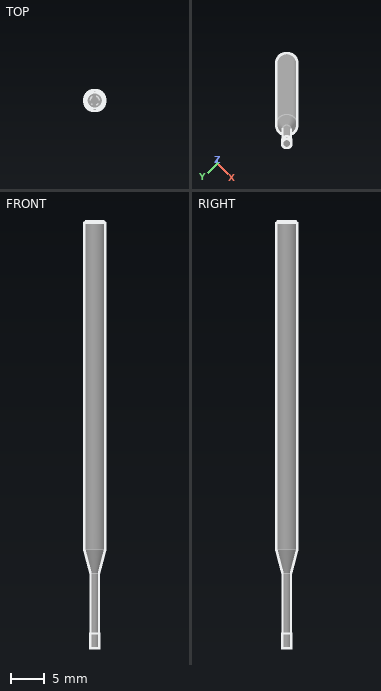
import cadquery as cq


OVERALL_LENGTH = 63.5
SHANK_DIAMETER = 3.175
NECK_DIAMETER = 1.3
TIP_DIAMETER = 1.4
TIP_LENGTH = 2.2
NECK_LENGTH = 8.95
TAPER_LENGTH = 3.55
CHAMFER_SIZE = 0.37

shank_radius = SHANK_DIAMETER / 2
neck_radius = NECK_DIAMETER / 2
tip_radius = TIP_DIAMETER / 2
taper_bottom = TIP_LENGTH + NECK_LENGTH
taper_top = taper_bottom + TAPER_LENGTH
chamfer_bottom = OVERALL_LENGTH - CHAMFER_SIZE


def make_holder():
    """Neck, taper and shank with a 45-degree end chamfer, turned about Z from one half profile."""
    half_profile = (
        cq.Workplane("YZ")
        .moveTo(0, TIP_LENGTH)
        .lineTo(-neck_radius, TIP_LENGTH)
        .lineTo(-neck_radius, taper_bottom)
        .lineTo(-shank_radius, taper_top)
        .lineTo(-shank_radius, chamfer_bottom)
        .lineTo(-(shank_radius - CHAMFER_SIZE), OVERALL_LENGTH)
        .lineTo(0, OVERALL_LENGTH)
        .close()
    )
    return half_profile.revolve(360, (0, 0, 0), (0, 1, 0))


def make_tip():
    """Plain cylinder from the free end up to the end face of the neck."""
    return cq.Workplane("XY").circle(tip_radius).extrude(TIP_LENGTH)


holder = make_holder()
tip = make_tip()

result = cq.Compound.makeCompound([holder.val(), tip.val()])